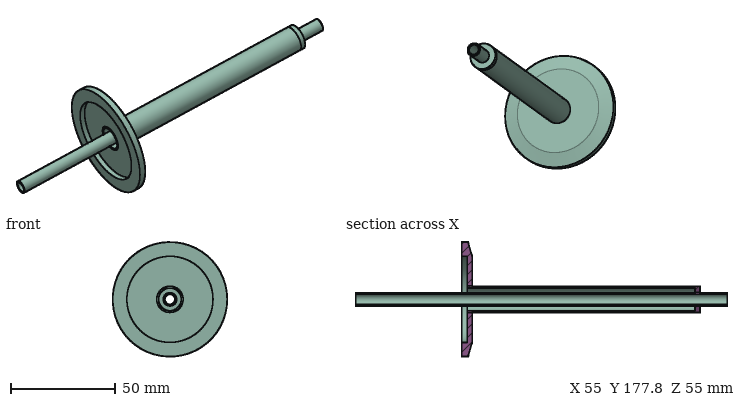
import cadquery as cq

TOTAL_LENGTH = 177.8

FLANGE_DIAMETER = 55.0
FLANGE_FRONT = 50.7
RIM_THICKNESS = 3.2
FLANGE_THICKNESS = 5.2
RECESS_DIAMETER = 41.2
RECESS_DEPTH = 2.7
FLANGE_BACK_DIAMETER = RECESS_DIAMETER

OUTER_TUBE_DIAMETER = 12.6
OUTER_TUBE_BORE = 10.8
OUTER_TUBE_START = FLANGE_FRONT + RECESS_DEPTH

CAP_LENGTH = 2.5
INNER_TUBE_TAIL = 13.0
CAP_END = TOTAL_LENGTH - INNER_TUBE_TAIL
CAP_START = CAP_END - CAP_LENGTH

INNER_TUBE_DIAMETER = 6.4
INNER_TUBE_BORE = 4.8


def cylinder(diameter, start, end):
    """Solid cylinder on the Y axis between two Y positions."""
    plane = cq.Workplane("XZ", origin=(0, start, 0))
    return plane.circle(diameter / 2).extrude(start - end)


def ring(outer_diameter, inner_diameter, start, end):
    """Hollow cylinder on the Y axis between two Y positions."""
    return cylinder(outer_diameter, start, end).cut(cylinder(inner_diameter, start, end))


def make_flange():
    """Disc with a conical back, a front recess and a bore for the outer tube."""
    rim_back = FLANGE_FRONT + RIM_THICKNESS
    back = FLANGE_FRONT + FLANGE_THICKNESS
    disc = (
        cq.Workplane("XY")
        .moveTo(0, FLANGE_FRONT)
        .lineTo(FLANGE_DIAMETER / 2, FLANGE_FRONT)
        .lineTo(FLANGE_DIAMETER / 2, rim_back)
        .lineTo(FLANGE_BACK_DIAMETER / 2, back)
        .lineTo(0, back)
        .close()
        .revolve(360, (0, 0, 0), (0, 1, 0))
    )
    recess = cylinder(RECESS_DIAMETER, FLANGE_FRONT, FLANGE_FRONT + RECESS_DEPTH)
    bore = cylinder(OUTER_TUBE_DIAMETER, FLANGE_FRONT, back)
    return disc.cut(recess).cut(bore)


flange = make_flange()
outer_tube = ring(OUTER_TUBE_DIAMETER, OUTER_TUBE_BORE, OUTER_TUBE_START, CAP_START)
end_cap = ring(OUTER_TUBE_DIAMETER, INNER_TUBE_DIAMETER, CAP_START, CAP_END)
inner_tube = ring(INNER_TUBE_DIAMETER, INNER_TUBE_BORE, 0, TOTAL_LENGTH)

result = cq.Compound.makeCompound(
    [flange.val(), outer_tube.val(), end_cap.val(), inner_tube.val()]
)